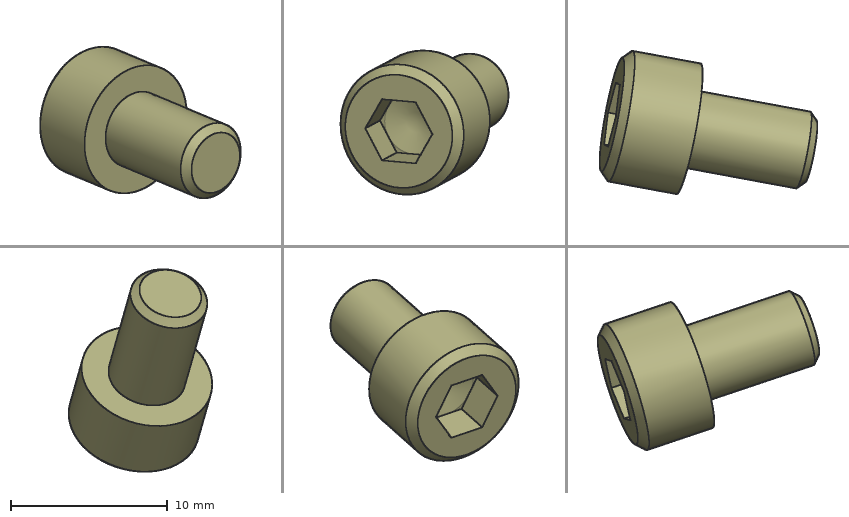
import cadquery as cq
import math

total_length = 13.0
head_length = 5.0
head_diameter = 8.5
head_chamfer = 0.56
shank_diameter = 5.0
tip_chamfer = 0.5

socket_across_flats = 4.0
socket_depth = 2.5
socket_cone_angle = 149.0

head_radius = head_diameter / 2
shank_radius = shank_diameter / 2
socket_radius = socket_across_flats / 2
socket_across_corners = socket_across_flats / math.cos(math.radians(30))
cone_depth = socket_radius / math.tan(math.radians(socket_cone_angle / 2))


def make_body():
    """Revolve the head and shank profile around the X axis."""
    return (
        cq.Workplane("XY")
        .moveTo(0, 0)
        .lineTo(0, head_radius - head_chamfer)
        .lineTo(head_chamfer, head_radius)
        .lineTo(head_length, head_radius)
        .lineTo(head_length, shank_radius)
        .lineTo(total_length - tip_chamfer, shank_radius)
        .lineTo(total_length, shank_radius - tip_chamfer)
        .lineTo(total_length, 0)
        .close()
        .revolve(360, (0, 0, 0), (1, 0, 0))
    )


def make_socket():
    """Hexagonal prism, corners toward +Y and -Y, ending in a cone."""
    prism = cq.Workplane("YZ").polygon(6, socket_across_corners).extrude(socket_depth)
    cone = (
        cq.Workplane("XY")
        .moveTo(socket_depth, 0)
        .lineTo(socket_depth, socket_radius)
        .lineTo(socket_depth + cone_depth, 0)
        .close()
        .revolve(360, (0, 0, 0), (1, 0, 0))
    )
    return prism.union(cone)


result = make_body().cut(make_socket())